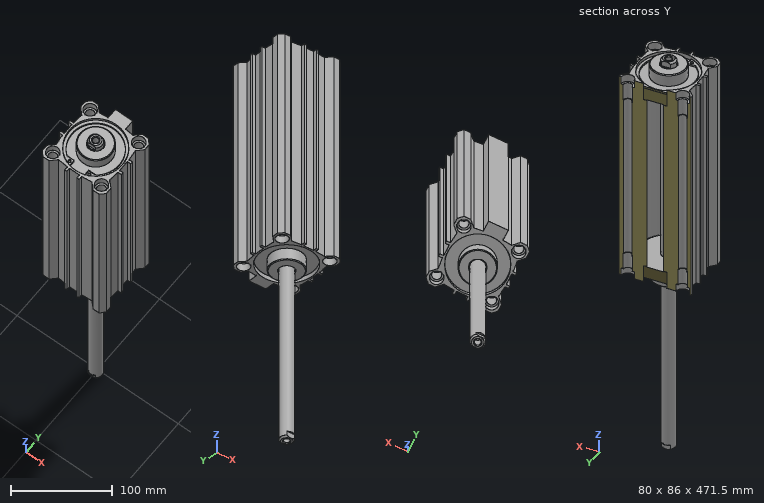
import cadquery as cq
import math

TUBE_LENGTH = 241.5
BOSS_HEIGHT = 8.5
UPPER_ROD_REACH = 6.5
LOWER_ROD_REACH = 206.5

OVERALL_WIDTH = 80.0
OVERALL_DEPTH = 86.0
CORNER_RADIUS = 53.0
LUG_START = 27.5
LUG_HEIGHT = 6.5
SIDE_CREST = 34.5
BOLT_OFFSET = 30.0
RAIL_INNER = 6.0
RAIL_OUTER = 9.0
RAIL_REACH = 38.5
BACK_RIB_WIDTH = 21.5
BACK_RIB_REACH = OVERALL_DEPTH - OVERALL_WIDTH / 2

BORE_DIAMETER = 63.0
SEAT_DIAMETER = 65.0
BOLT_DIAMETER = 8.5
BOLT_HEAD_DIAMETER = 14.0
BOLT_HEAD_DEPTH = 8.5
THREAD_DIAMETER = 10.0
THREAD_DEPTH = 19.0

COLLAR_RECESS = 5.0
COLLAR_THICKNESS = 14.0
BOSS_DIAMETER = 38.5
BOSS_CHAMFER = 1.0
WIPER_DIAMETER = 18.0
WIPER_DEPTH = 3.0

RING_INNER_DIAMETER = 58.5
RING_THICKNESS = 2.0
RING_GAP = 18.0
EAR_WIDTH = 9.5
EAR_INNER_Y = -23.0
EAR_OUTER_Y = -29.5
EAR_HOLE_X = 12.5
EAR_HOLE_Y = -26.5
EAR_HOLE_DIAMETER = 3.0

ROD_DIAMETER = 16.0
ROD_CHAMFER = 2.0
ROD_FLATS = 12.7
FLAT_LENGTH = 6.5
ROD_HOLE_DIAMETER = 6.5
ROD_HOLE_DEPTH = 14.0
ROD_HOLE_CHAMFER = 1.0
DRILL_POINT_ANGLE = 118

SEAT_DEPTH = COLLAR_RECESS + COLLAR_THICKNESS
BOLT_POINTS = [(x, y) for x in (-BOLT_OFFSET, BOLT_OFFSET) for y in (-BOLT_OFFSET, BOLT_OFFSET)]


def cylinder(diameter, bottom, top):
    return cq.Workplane("XY").workplane(offset=bottom).circle(diameter / 2).extrude(top - bottom)


def upside_down(shape):
    """Mirror a shape about the tube's mid-height."""
    return shape.mirror("XY", (0, 0, TUBE_LENGTH / 2))


def tube_bar(x_min, x_max, y_min, y_max):
    """A rectangular bar as long as the tube."""
    bar = cq.Workplane("XY").box(x_max - x_min, y_max - y_min, TUBE_LENGTH, centered=False)
    return bar.translate((x_min, y_min, 0))


def turned(x, y, quarter_turns):
    """A point turned clockwise about the tube axis."""
    for _ in range(quarter_turns):
        x, y = y, -x
    return x, y


def tube_outside():
    half_width = OVERALL_WIDTH / 2
    lug_end = math.sqrt(CORNER_RADIUS**2 - half_width**2)
    arc_middle = CORNER_RADIUS / math.sqrt(2)
    outline = cq.Workplane("XY").moveTo(-RAIL_OUTER, SIDE_CREST)
    for quarter in range(4):
        outline = (
            outline.lineTo(*turned(RAIL_OUTER, SIDE_CREST, quarter))
            .lineTo(*turned(LUG_START - LUG_HEIGHT, half_width - LUG_HEIGHT, quarter))
            .lineTo(*turned(LUG_START, half_width, quarter))
            .lineTo(*turned(lug_end, half_width, quarter))
            .threePointArc(
                turned(arc_middle, arc_middle, quarter),
                turned(half_width, lug_end, quarter),
            )
            .lineTo(*turned(half_width, LUG_START, quarter))
            .lineTo(*turned(half_width - LUG_HEIGHT, LUG_START - LUG_HEIGHT, quarter))
            .lineTo(*turned(SIDE_CREST, RAIL_OUTER, quarter))
        )
    tube = outline.close().extrude(TUBE_LENGTH)
    rib_half = BACK_RIB_WIDTH / 2
    return tube.union(tube_bar(-rib_half, rib_half, SEAT_DIAMETER / 2, BACK_RIB_REACH))


def sensor_rails():
    """Pairs of thin rails along the -X, -Y and +X sides."""
    rail = tube_bar(SEAT_DIAMETER / 2, RAIL_REACH, RAIL_INNER, RAIL_OUTER)
    pair = (rail, rail.mirror("XZ"))
    return [rail.rotate((0, 0, 0), (0, 0, 1), angle) for angle in (0, 180, 270) for rail in pair]


def bolt_hole():
    """A through hole, threaded and counterbored at both ends."""
    head_floor = TUBE_LENGTH - BOLT_HEAD_DEPTH
    end = cylinder(BOLT_HEAD_DIAMETER, head_floor, TUBE_LENGTH)
    end = end.union(cylinder(THREAD_DIAMETER, head_floor - THREAD_DEPTH, head_floor))
    return cylinder(BOLT_DIAMETER, 0, TUBE_LENGTH).union(end).union(upside_down(end))


def make_tube():
    tube = tube_outside()
    for rail in sensor_rails():
        tube = tube.union(rail)
    tube = tube.cut(cylinder(BORE_DIAMETER, 0, TUBE_LENGTH))
    seat = cylinder(SEAT_DIAMETER, TUBE_LENGTH - SEAT_DEPTH, TUBE_LENGTH)
    tube = tube.cut(seat).cut(upside_down(seat))
    for x, y in BOLT_POINTS:
        tube = tube.cut(bolt_hole().translate((x, y, 0)))
    return tube


def make_collar():
    """The upper collar."""
    face = TUBE_LENGTH - COLLAR_RECESS
    boss_top = TUBE_LENGTH + BOSS_HEIGHT
    disc = cylinder(SEAT_DIAMETER, face - COLLAR_THICKNESS, face)
    boss = cylinder(BOSS_DIAMETER, face, boss_top).faces(">Z").chamfer(BOSS_CHAMFER)
    collar = disc.union(boss)
    collar = collar.cut(cylinder(ROD_DIAMETER, face - COLLAR_THICKNESS, boss_top))
    return collar.cut(cylinder(WIPER_DIAMETER, boss_top - WIPER_DEPTH, boss_top))


def make_snap_ring():
    """The ring lies on the upper collar, open toward -Y."""
    bottom = TUBE_LENGTH - COLLAR_RECESS
    top = bottom + RING_THICKNESS
    disc = cylinder(SEAT_DIAMETER, bottom, top)
    ring = disc.cut(cylinder(RING_INNER_DIAMETER, bottom, top))
    ear_depth = EAR_INNER_Y - EAR_OUTER_Y
    for side in (-1, 1):
        ear = cq.Workplane("XY").box(EAR_WIDTH, ear_depth, RING_THICKNESS, centered=(True, False, False))
        ear = ear.translate((side * (RING_GAP + EAR_WIDTH) / 2, EAR_OUTER_Y, bottom))
        hole = cylinder(EAR_HOLE_DIAMETER, bottom, top).translate((side * EAR_HOLE_X, EAR_HOLE_Y, 0))
        ring = ring.union(ear.intersect(disc)).cut(hole)
    gap = cq.Workplane("XY").box(RING_GAP, SEAT_DIAMETER, RING_THICKNESS, centered=(True, False, False))
    ring = ring.cut(gap.translate((0, -SEAT_DIAMETER, bottom)))
    return ring


def rod_end(tip):
    """What is cut from a rod end that points up to the height `tip`: both flats and the tapped hole."""
    tip_disc = cylinder(ROD_DIAMETER, tip - FLAT_LENGTH, tip)
    between_flats = cq.Workplane("XY").box(ROD_DIAMETER, ROD_FLATS, FLAT_LENGTH)
    flats = tip_disc.cut(between_flats.translate((0, 0, tip - FLAT_LENGTH / 2)))
    radius = ROD_HOLE_DIAMETER / 2
    floor = tip - ROD_HOLE_DEPTH
    point_depth = radius / math.tan(math.radians(DRILL_POINT_ANGLE / 2))
    hole = (
        cq.Workplane("XZ")
        .moveTo(0, floor - point_depth)
        .lineTo(radius, floor)
        .lineTo(radius, tip - ROD_HOLE_CHAMFER)
        .lineTo(radius + ROD_HOLE_CHAMFER, tip)
        .lineTo(0, tip)
        .close()
        .revolve()
    )
    return flats.union(hole)


def make_rod():
    bottom = -BOSS_HEIGHT - LOWER_ROD_REACH
    top = TUBE_LENGTH + BOSS_HEIGHT + UPPER_ROD_REACH
    rod = cylinder(ROD_DIAMETER, bottom, top).faces("<Z or >Z").chamfer(ROD_CHAMFER)
    lower_end = upside_down(rod_end(TUBE_LENGTH - bottom))
    return rod.cut(rod_end(top)).cut(lower_end)


tube = make_tube()
upper_collar = make_collar()
lower_collar = upside_down(make_collar())
snap_ring = make_snap_ring()
rod = make_rod()

result = cq.Compound.makeCompound(
    [tube.val(), upper_collar.val(), lower_collar.val(), snap_ring.val(), rod.val()]
)